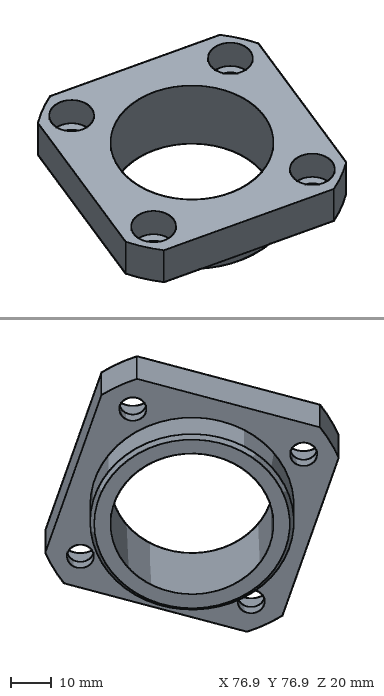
import cadquery as cq

flange_diameter = 76.9
flange_side = 60.9
flange_thickness = 11.0

total_height = 20.0
spigot_diameter = 50.0
spigot_chamfer = 1.0
bore_diameter = 40.0

bolt_circle_diameter = 62.0
bolt_hole_diameter = 6.6
counterbore_diameter = 11.0
counterbore_depth = 8.0
bolt_count = 4

spigot_height = total_height - flange_thickness


def make_flange():
    """Diamond plate trimmed by the outer circle, resting on the spigot."""
    diamond = (
        cq.Workplane("XY")
        .rect(flange_side, flange_side)
        .extrude(flange_thickness)
        .rotate((0, 0, 0), (0, 0, 1), 45)
    )
    outer_disc = cq.Workplane("XY").circle(flange_diameter / 2).extrude(flange_thickness)
    return diamond.intersect(outer_disc).translate((0, 0, spigot_height))


def make_spigot():
    """Round locating spigot with a chamfered lower rim."""
    spigot = cq.Workplane("XY").circle(spigot_diameter / 2).extrude(spigot_height)
    return spigot.faces("<Z").edges().chamfer(spigot_chamfer)


body = make_flange().union(make_spigot())

bore = cq.Workplane("XY").circle(bore_diameter / 2).extrude(total_height)
body = body.cut(bore)

result = (
    body.faces(">Z")
    .workplane(origin=(0, 0, total_height))
    .polarArray(bolt_circle_diameter / 2, 0, 360, bolt_count)
    .cboreHole(bolt_hole_diameter, counterbore_diameter, counterbore_depth)
)